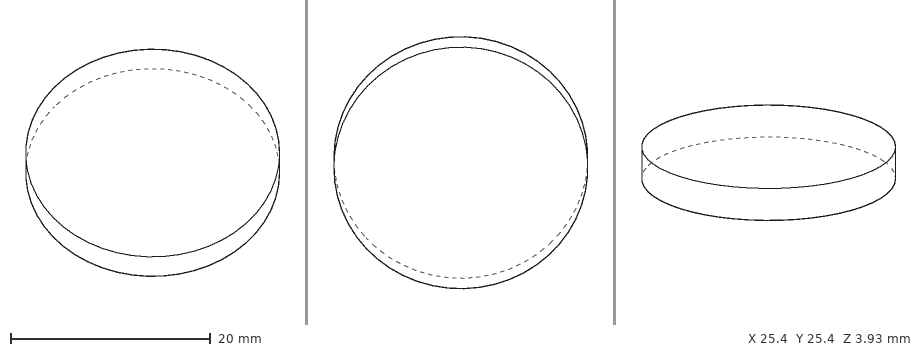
import cadquery as cq
import math

diameter = 25.4
center_thickness = 3.93
edge_thickness = 3.4

radius = diameter / 2
half_center = center_thickness / 2
half_edge = edge_thickness / 2

sag = half_center - half_edge
face_radius = (radius**2 + sag**2) / (2 * sag)

mid_x = radius / 2
mid_z = half_center - face_radius + math.sqrt(face_radius**2 - mid_x**2)


def lens_half_profile():
    """Closed outline in the XZ plane, from the optical axis out to the rim."""
    return (
        cq.Workplane("XZ")
        .moveTo(0, -half_center)
        .threePointArc((mid_x, -mid_z), (radius, -half_edge))
        .lineTo(radius, half_edge)
        .threePointArc((mid_x, mid_z), (0, half_center))
        .close()
    )


result = lens_half_profile().revolve(360, (0, 0), (0, 1))